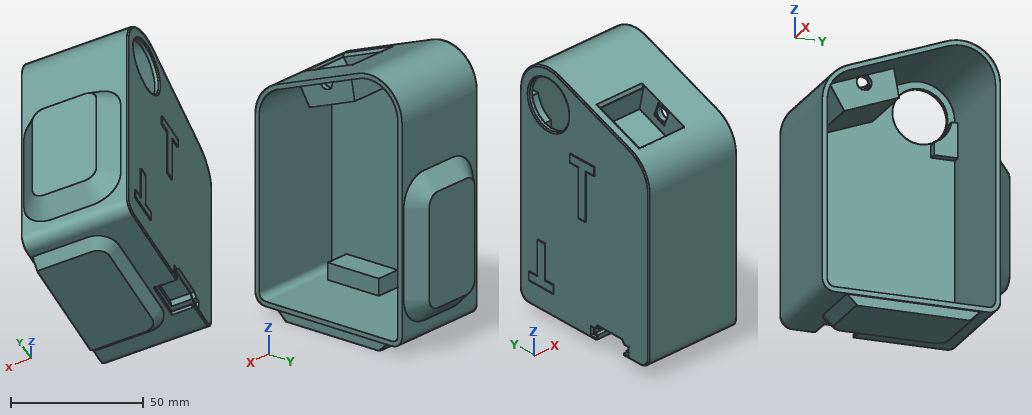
import cadquery as cq
import math

mark_height = 0.5
case_depth = 44.8
case_width = 72.1
case_top = 112.0
wall = 2.0
face_x = mark_height
rim_x = face_x + case_depth
edge_chamfer = 0.6

bottom_foot_height = 4.0
back_foot_height = 6.8
foot_corner = 5.0
case_bottom = bottom_foot_height
bottom_foot_x = (16.4, 47.6)
bottom_foot_y = (14.1, 60.5)
bottom_foot_end_x = 44.5
back_foot_x = (10.4, 37.4)
back_foot_z = (18.7, 66.2)

corner_radius = 16.0
bottom_radius = 4.9
low_centre = (corner_radius, 81.0)
high_centre = (case_width - corner_radius, case_top - corner_radius)
roof_angle = math.atan2(high_centre[1] - low_centre[1], high_centre[0] - low_centre[0])
roof_slope = math.tan(roof_angle)

sensor_diameter = 22.3
cradle_diameter = 23.3
cradle_length = 3.4
cradle_front = 4.4
cradle_drop = 1.9

pocket_x = (5.5, 27.5)
pocket_rim_y = (9.6, 32.3)
pocket_floor_y = (16.6, 34.7)
pocket_depth = 11.6
pocket_bevel = 1.2
pocket_wall = 3.0
plug_centre = (22.6, 95.6)
plug_diameter = 6.0
plug_recess_depth = 0.6
plug_recess_height = 6.7

notch_centre_y = 22.0
notch_mouth_depth = 1.5
notch_inset = 0.7
notch_depth = 10.0
groove_depth = 11.2
lip_width, lip_height = 15.7, 1.1
groove_width, groove_height = 21.0, 4.0
crown_base, crown_top, crown_height = 16.6, 13.7, 1.9

mark_bar_length = 13.5
mark_bar_width = 3.9
mark_stem_width = 4.0
inverted_mark = (59.8, 14.5, 34.4)
upright_mark = (37.0, 80.1, 53.9)


def outline(inset):
    """Closed YZ outline of the case, moved inward by inset."""
    radius = corner_radius - inset
    foot_radius = bottom_radius - inset
    front, back, base = inset, case_width - inset, case_bottom + inset
    diagonal = foot_radius * (1 - math.sqrt(0.5))

    def on_arc(centre, angle):
        return (centre[0] + radius * math.cos(angle), centre[1] + radius * math.sin(angle))

    roof_normal = roof_angle + math.pi / 2
    return (
        cq.Workplane("YZ")
        .moveTo(front, base + foot_radius)
        .lineTo(front, low_centre[1])
        .threePointArc(on_arc(low_centre, (math.pi + roof_normal) / 2), on_arc(low_centre, roof_normal))
        .lineTo(*on_arc(high_centre, roof_normal))
        .threePointArc(on_arc(high_centre, roof_normal / 2), on_arc(high_centre, 0))
        .lineTo(back, base + foot_radius)
        .threePointArc((back - diagonal, base + diagonal), (back - foot_radius, base))
        .lineTo(front + foot_radius, base)
        .threePointArc((front + diagonal, base + diagonal), (front, base + foot_radius))
        .close()
    )


def roof_z(y):
    return high_centre[1] + corner_radius / math.cos(roof_angle) + (y - high_centre[0]) * roof_slope


def foot(plane, first, second, height):
    """Frustum growing 45 degrees from its outer face along the plane normal."""
    return (
        plane.center(sum(first) / 2, sum(second) / 2)
        .sketch()
        .rect(first[1] - first[0], second[1] - second[0])
        .vertices()
        .fillet(foot_corner)
        .finalize()
        .extrude(height, taper=-45)
    )


def make_bottom_foot():
    body = foot(cq.Workplane("XY"), bottom_foot_x, bottom_foot_y, bottom_foot_height)
    keep = cq.Workplane("XY").box(bottom_foot_end_x, case_width, bottom_foot_height, centered=False)
    return body.intersect(keep)


def make_back_foot():
    plane = cq.Workplane("XZ", origin=(0, case_width + back_foot_height, 0))
    return foot(plane, back_foot_x, back_foot_z, back_foot_height)


def extrude_x(profile, x_range):
    return profile.extrude(x_range[1] - x_range[0]).translate((x_range[0], 0, 0))


def pocket_profile(margin):
    """Pocket section, open upward, grown by margin on its sides and floor."""
    rim_low, rim_high = pocket_rim_y[0] - margin, pocket_rim_y[1] + margin
    floor_low, floor_high = pocket_floor_y[0] - margin, pocket_floor_y[1] + margin
    sink = pocket_depth / math.cos(roof_angle) + margin
    above = case_top
    return cq.Workplane("YZ").polyline([
        (rim_low, above),
        (rim_low, roof_z(rim_low)),
        (floor_low, roof_z(floor_low) - sink),
        (floor_high, roof_z(floor_high) - sink),
        (rim_high, roof_z(rim_high)),
        (rim_high, above),
    ]).close()


def roof_plane(x, y):
    """Plane on the roof: local X along the case X axis, local Z out of the roof."""
    normal = (0, -math.sin(roof_angle), math.cos(roof_angle))
    return cq.Workplane(cq.Plane(origin=(x, y, roof_z(y)), xDir=(1, 0, 0), normal=normal))


def make_pocket_bevel():
    """Sloped lead-in along the -X and uphill edges of the pocket mouth."""
    length = (pocket_rim_y[1] - pocket_rim_y[0]) / math.cos(roof_angle)
    width = pocket_x[1] - pocket_x[0]
    start = roof_plane(pocket_x[0], pocket_rim_y[0]).workplane(offset=-pocket_bevel)
    return (
        start.rect(width, length, centered=False)
        .workplane(offset=pocket_bevel)
        .polyline([
            (-pocket_bevel, 0),
            (width, 0),
            (width, length + pocket_bevel),
            (-pocket_bevel, length + pocket_bevel),
        ])
        .close()
        .loft(ruled=True)
    )


def make_plug_opening():
    """Cable hole from the pocket into the case, with a shallow recess around it."""
    y, z = plug_centre
    wall_x = pocket_x[1]
    hole = extrude_x(
        cq.Workplane("YZ").center(y, z).circle(plug_diameter / 2), (wall_x, wall_x + pocket_wall)
    )
    recess = (
        cq.Workplane("YZ")
        .rect(plug_diameter, plug_recess_height)
        .extrude(plug_recess_depth)
        .rotate((0, 0, 0), (1, 0, 0), math.degrees(roof_angle))
        .translate((wall_x, y, z))
    )
    return hole.union(recess)


def notch_profile(inset):
    """Mirrored section of lip, groove and tapered crown, its upper walls moved in by inset."""
    lip_top = case_bottom + lip_height + inset
    groove_top = case_bottom + lip_height + groove_height - inset
    half = [
        (lip_width / 2, case_bottom),
        (lip_width / 2, lip_top),
        (groove_width / 2 - inset, lip_top),
        (groove_width / 2 - inset, groove_top),
        (crown_base / 2 - inset, groove_top),
        (crown_top / 2 - inset, groove_top + crown_height),
    ]
    mirrored = [(-y, z) for y, z in reversed(half)]
    return cq.Workplane("YZ").center(notch_centre_y, 0).polyline(half + mirrored).close()


def make_notch():
    """Wide mouth, narrower body, and a groove running deeper than the body."""
    mouth = extrude_x(notch_profile(0), (face_x, face_x + notch_mouth_depth))
    body = extrude_x(notch_profile(notch_inset), (face_x, face_x + notch_depth))
    groove_z = case_bottom + lip_height + groove_height / 2
    groove = (
        cq.Workplane("YZ")
        .center(notch_centre_y, groove_z)
        .rect(groove_width - 2 * notch_inset, groove_height - 2 * notch_inset)
    )
    return mouth.union(body).union(extrude_x(groove, (face_x, face_x + groove_depth)))


def make_notch_housing():
    height = lip_height + groove_height + crown_height + wall
    return cq.Workplane("XY").box(
        groove_depth + wall, groove_width + 2 * wall, height, centered=(False, True, False)
    ).translate((face_x, notch_centre_y, case_bottom))


def make_cradle():
    """Block in the back corner, hollowed to hold the sensor barrel."""
    start = face_x + wall
    centre_y, centre_z = high_centre
    size_y = case_width - centre_y - cradle_front
    size_z = corner_radius - cradle_drop
    block = cq.Workplane("XY").box(cradle_length, size_y, size_z, centered=False)
    block = block.translate((start, centre_y + cradle_front, centre_z - corner_radius))
    barrel = cq.Workplane("YZ").center(centre_y, centre_z).circle(cradle_diameter / 2)
    return block.cut(extrude_x(barrel, (start, start + cradle_length)))


def make_mark(y, bar_end_z, stem_end_z):
    """T-shaped mark whose bar sits at bar_end_z and whose stem runs to stem_end_z."""
    direction = math.copysign(1, stem_end_z - bar_end_z)
    bar_z = bar_end_z + direction * mark_bar_width / 2
    stem_length = abs(stem_end_z - bar_end_z)
    bar = cq.Workplane("YZ").center(y, bar_z).rect(mark_bar_length, mark_bar_width)
    stem = cq.Workplane("YZ").center(y, (bar_end_z + stem_end_z) / 2).rect(mark_stem_width, stem_length)
    return bar.extrude(mark_height).union(stem.extrude(mark_height))


envelope = extrude_x(outline(0), (face_x, rim_x)).faces("<X").edges().chamfer(edge_chamfer)
cavity = extrude_x(outline(wall), (face_x + wall, rim_x))
pocket_housing = extrude_x(pocket_profile(wall), (face_x + wall, pocket_x[1] + pocket_wall))
inner_parts = pocket_housing.union(make_notch_housing()).union(make_cradle()).intersect(envelope)
case = envelope.cut(cavity).union(inner_parts)

sensor_hole = extrude_x(
    cq.Workplane("YZ").center(*high_centre).circle(sensor_diameter / 2), (face_x, face_x + wall)
)
sensor_countersink = (
    cq.Workplane("YZ", origin=(face_x, 0, 0))
    .center(*high_centre)
    .circle(sensor_diameter / 2 + edge_chamfer)
    .extrude(edge_chamfer, taper=45)
)
case = case.cut(sensor_hole).cut(sensor_countersink)
case = case.cut(extrude_x(pocket_profile(0), pocket_x)).cut(make_pocket_bevel()).cut(make_plug_opening())
case = case.cut(make_notch())

case = case.union(make_bottom_foot()).union(make_back_foot())
for mark in (inverted_mark, upright_mark):
    case = case.union(make_mark(*mark))

result = case.solids()